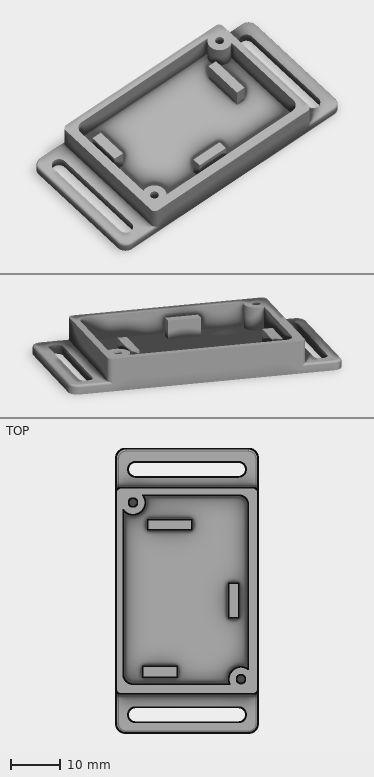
import cadquery as cq

WIDTH = 29.0
PLATE_LENGTH = 58.0
PLATE_THICKNESS = 2.0
PLATE_CORNER_RADIUS = 2.0
PLATE_RIM_RADIUS = 0.5

TRAY_LENGTH = 42.0
TRAY_HEIGHT = 7.0
TRAY_CORNER_RADIUS = 1.0

THIN_WALL = 1.5
THICK_WALL = 2.0
FLOOR_THICKNESS = 2.0
CAVITY_DEPTH = TRAY_HEIGHT - FLOOR_THICKNESS
CAVITY_CORNER_RADIUS = 2.0

BOSS_DIAMETER = 5.0
SCREW_HOLE_DIAMETER = 1.8
BOSS_OFFSET_X = 11.0
BOSS_OFFSET_Y = 18.0
BOSS_CENTERS = [(-BOSS_OFFSET_X, BOSS_OFFSET_Y), (BOSS_OFFSET_X, -BOSS_OFFSET_Y)]

SLOT_LENGTH = 24.0
SLOT_WIDTH = 3.0
SLOT_SPACING = 50.0
SLOT_SHIFT_Y = -0.25
SLOT_CENTERS_Y = [SLOT_SHIFT_Y + SLOT_SPACING / 2, SLOT_SHIFT_Y - SLOT_SPACING / 2]

SUPPORT_BLOCK_HEIGHT = 4.0
SUPPORT_BLOCKS = [
    (-8.0, 12.5, 9.0, 2.0),
    (8.5, -5.5, 2.0, 7.0),
    (-9.0, -17.6, 7.0, 2.2),
]


def make_plate():
    """Rounded plate with a rounded top rim."""
    plate = cq.Workplane("XY").box(WIDTH, PLATE_LENGTH, PLATE_THICKNESS, centered=(True, True, False))
    plate = plate.edges("|Z").fillet(PLATE_CORNER_RADIUS)
    return plate.faces(">Z").edges().fillet(PLATE_RIM_RADIUS)


def make_tray_block():
    """Solid outer block of the tray."""
    block = cq.Workplane("XY").box(WIDTH, TRAY_LENGTH, TRAY_HEIGHT, centered=(True, True, False))
    return block.edges("|Z").fillet(TRAY_CORNER_RADIUS)


def make_bosses():
    """Round posts that the cavity leaves standing for the screws."""
    return (
        cq.Workplane("XY")
        .workplane(offset=FLOOR_THICKNESS)
        .pushPoints(BOSS_CENTERS)
        .circle(BOSS_DIAMETER / 2)
        .extrude(CAVITY_DEPTH)
    )


def make_cavity():
    """Volume removed from the tray, leaving the screw bosses standing."""
    shift = (THICK_WALL - THIN_WALL) / 2
    cavity = (
        cq.Workplane("XY", origin=(-shift, shift, FLOOR_THICKNESS))
        .rect(WIDTH - THIN_WALL - THICK_WALL, TRAY_LENGTH - THIN_WALL - THICK_WALL)
        .extrude(CAVITY_DEPTH)
        .edges("|Z")
        .fillet(CAVITY_CORNER_RADIUS)
    )
    return cavity.cut(make_bosses())


def make_screw_holes():
    """Blind holes down the bosses to the level of the cavity floor."""
    return (
        cq.Workplane("XY")
        .workplane(offset=FLOOR_THICKNESS)
        .pushPoints(BOSS_CENTERS)
        .circle(SCREW_HOLE_DIAMETER / 2)
        .extrude(CAVITY_DEPTH)
    )


def make_strap_slots():
    """Round-ended slots through both tabs."""
    return (
        cq.Workplane("XY")
        .pushPoints([(0, y) for y in SLOT_CENTERS_Y])
        .slot2D(SLOT_LENGTH, SLOT_WIDTH)
        .extrude(PLATE_THICKNESS)
    )


def make_support_block(min_x, min_y, size_x, size_y):
    """Rectangular block standing on the cavity floor."""
    corner = cq.Workplane("XY", origin=(min_x, min_y, FLOOR_THICKNESS))
    return corner.box(size_x, size_y, SUPPORT_BLOCK_HEIGHT, centered=False)


result = make_plate().union(make_tray_block())
result = result.cut(make_cavity())
for block in SUPPORT_BLOCKS:
    result = result.union(make_support_block(*block))
result = result.cut(make_screw_holes()).cut(make_strap_slots())